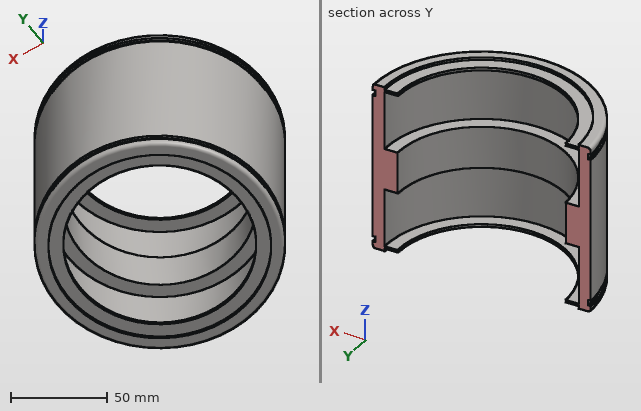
import cadquery as cq

outer_diameter = 130.0
length = 100.0
edge_radius = 2.0

groove_diameter = 127.0
groove_offset = 4.0
groove_width = 3.0

bore_diameter = 100.0
chamber_diameter = 115.47
rib_width = 25.0
recess_depth = 1.5
lip_thickness = 1.7

chamber_offset = recess_depth + lip_thickness
chamber_length = (length - rib_width) / 2 - chamber_offset


def disc(diameter, bottom, height):
    """Solid cylinder on the Z axis, starting at the given height."""
    return cq.Workplane("XY").workplane(offset=bottom).circle(diameter / 2).extrude(height)


def both_ends(offset, height):
    """Bottom heights of a feature set at the same offset from each end face."""
    return (offset, length - offset - height)


def sleeve():
    """Cylinder with rounded outer rims and a through bore."""
    body = disc(outer_diameter, 0, length).edges("%CIRCLE").fillet(edge_radius)
    return body.cut(disc(bore_diameter, 0, length))


def cut_outer_grooves(body):
    """Ring groove in the outside wall near each end."""
    for bottom in both_ends(groove_offset, groove_width):
        groove_floor = disc(groove_diameter, bottom, groove_width)
        body = body.cut(disc(outer_diameter, bottom, groove_width).cut(groove_floor))
    return body


def cut_inner_steps(body, offset, depth):
    """Widen the bore over the given depth, starting at the offset from each end face."""
    for bottom in both_ends(offset, depth):
        body = body.cut(disc(chamber_diameter, bottom, depth))
    return body


grooved_sleeve = cut_outer_grooves(sleeve())
recessed_sleeve = cut_inner_steps(grooved_sleeve, 0, recess_depth)
result = cut_inner_steps(recessed_sleeve, chamber_offset, chamber_length)